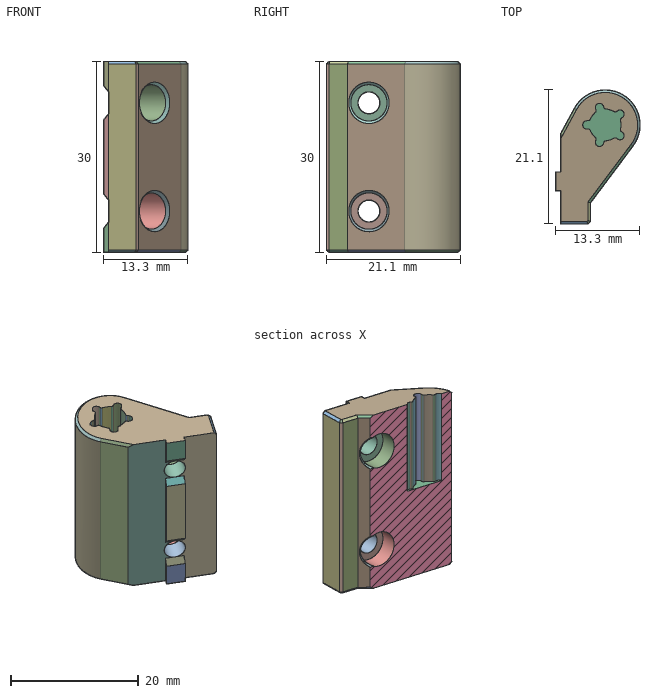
import cadquery as cq
import math

height = 30.0
edge_chamfer = 0.4
foot_thickness = 4.7
foot_height = 3.33
front_corner_y = 14.2
head_radius = 5.5
head_x = 7.0
head_y = 15.57
trim_allowance = 1.0

key_width = 3.0
key_depth = 0.8
key_y = 6.7
key_gap = 3.4
key_gap_outer = 5.4

screw_spacing = 17.0
screw_diameter = 3.4
counterbore_diameter = 5.7
counterbore_floor_x = 3.0
screw_positions = (-screw_spacing / 2, screw_spacing / 2)

socket_depth = 15.0
lobe_count = 5
lobe_radius = 0.65
lobe_distance = 2.88
lobe_neck_distance = 2.45
side_distance = 2.48
socket_fillet = 0.3


def tangent_point(x, y, side):
    """Point where a line from (x, y) touches the head; side +1 or -1 picks one of the two tangents."""
    distance = math.hypot(x - head_x, y - head_y)
    angle = math.atan2(y - head_y, x - head_x) + side * math.acos(head_radius / distance)
    return head_x + head_radius * math.cos(angle), head_y + head_radius * math.sin(angle)


back_tangent = tangent_point(foot_thickness, foot_height, 1)
front_tangent = tangent_point(0, front_corner_y, -1)


def make_body():
    """Chamfered teardrop, extended past the mounting face and trimmed so that face stays sharp."""
    head_top = (head_x, head_y + head_radius)
    front_slope = (front_tangent[1] - front_corner_y) / front_tangent[0]
    body = (
        cq.Workplane("XY")
        .workplane(offset=-height / 2)
        .moveTo(-trim_allowance, 0)
        .lineTo(foot_thickness, 0)
        .lineTo(foot_thickness, foot_height)
        .lineTo(*back_tangent)
        .threePointArc(head_top, front_tangent)
        .lineTo(-trim_allowance, front_corner_y - trim_allowance * front_slope)
        .close()
        .extrude(height)
    )
    foot_corner = cq.selectors.NearestToPointSelector((foot_thickness, 0, 0))
    body = body.edges(foot_corner).chamfer(edge_chamfer)
    body = body.faces("|Z").edges("not <X").chamfer(edge_chamfer)
    allowance = (
        cq.Workplane("XY")
        .box(trim_allowance, front_corner_y, height, centered=(True, False, True))
        .translate((-trim_allowance / 2, 0, 0))
    )
    return body.cut(allowance)


def cut_screw_hole(body, z):
    """Screw hole with a counterbore whose mouth on the sloped back is chamfered."""
    axis = cq.Workplane("YZ").center(key_y, z)
    reach = head_x + head_radius
    counterbore = axis.workplane(offset=counterbore_floor_x).circle(counterbore_diameter / 2).extrude(reach)
    body = body.cut(counterbore)
    back_slope = (back_tangent[0] - foot_thickness) / (back_tangent[1] - foot_height)
    mouth_x = foot_thickness + (key_y - foot_height) * back_slope
    mouth = cq.selectors.NearestToPointSelector((mouth_x, key_y, z))
    body = body.edges(mouth).chamfer(edge_chamfer)
    return body.cut(axis.circle(screw_diameter / 2).extrude(reach))


def make_key():
    """Key strip with a tapered gap at each screw."""
    key = cq.Workplane("XY").box(key_depth, key_width, height).translate((-key_depth / 2, key_y, 0))
    for z in screw_positions:
        gap = (
            cq.Workplane("XZ", origin=(0, key_y, z))
            .moveTo(0, -key_gap / 2)
            .lineTo(0, key_gap / 2)
            .lineTo(-key_depth, key_gap_outer / 2)
            .lineTo(-key_depth, -key_gap_outer / 2)
            .close()
            .extrude(key_width, both=True)
        )
        key = key.cut(gap)
    return key


def turned(along, across, turn):
    """Turn a point given along and across a lobe direction into X and Y."""
    cos_turn = math.cos(turn)
    sin_turn = math.sin(turn)
    return along * cos_turn - across * sin_turn, along * sin_turn + across * cos_turn


def make_socket():
    """Five rounded lobes around a core with slightly bulged sides; the first lobe points to -X."""
    pitch = 2 * math.pi / lobe_count
    turns = [math.pi + index * pitch for index in range(lobe_count)]
    outline = cq.Workplane("XY").moveTo(*turned(lobe_neck_distance, -lobe_radius, turns[0]))
    for turn in turns:
        tip = turned(lobe_distance + lobe_radius, 0, turn)
        side_middle = turned(side_distance, 0, turn + pitch / 2)
        next_neck = turned(lobe_neck_distance, -lobe_radius, turn + pitch)
        outline = (
            outline.lineTo(*turned(lobe_distance, -lobe_radius, turn))
            .threePointArc(tip, turned(lobe_distance, lobe_radius, turn))
            .lineTo(*turned(lobe_neck_distance, lobe_radius, turn))
            .threePointArc(side_middle, next_neck)
        )
    socket = outline.close().extrude(socket_depth)
    for turn in turns:
        for across in (-lobe_radius, lobe_radius):
            neck = turned(lobe_neck_distance, across, turn)
            neck_edge = cq.selectors.NearestToPointSelector((*neck, socket_depth / 2))
            socket = socket.edges(neck_edge).fillet(socket_fillet)
    return socket.translate((head_x, head_y, height / 2 - socket_depth))


result = make_body()
for screw_z in screw_positions:
    result = cut_screw_hole(result, screw_z)
result = result.union(make_key()).cut(make_socket())